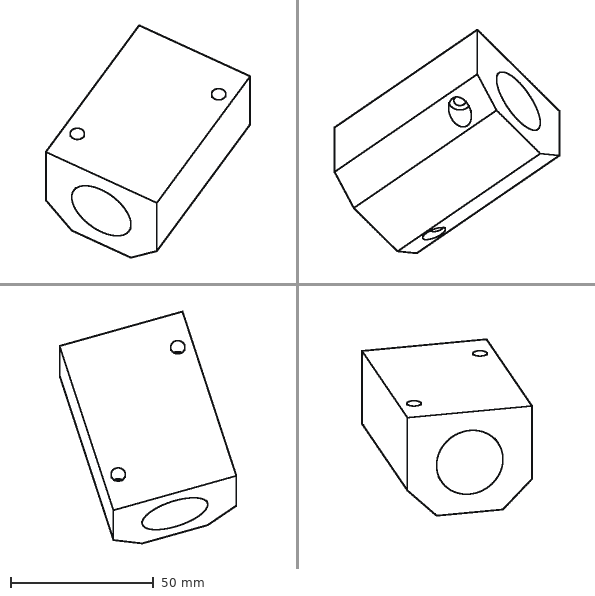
import cadquery as cq

width = 45.0
length = 65.0
height = 38.0
corner_cut = 10.5

bore_diameter = 24.0

hole_offset_x = 16.95
hole_offset_y = 20.0
core_diameter = 4.3
thread_diameter = 5.0
thread_depth = 10.0
head_diameter = 8.0
head_seat_height = 12.0

half_height = height / 2


def make_block():
    """Block with its lower long edges cut at 45 degrees."""
    block = cq.Workplane("XY").box(width, length, height)
    return block.faces("<Z").edges("|Y").chamfer(corner_cut)


def make_bore():
    """Cylinder that runs through the block along Y."""
    bore = cq.Workplane("XZ").circle(bore_diameter / 2)
    return bore.extrude(length / 2, both=True)


def vertical_cylinder(x, y, diameter, bottom, depth):
    """Cylinder parallel to Z that starts at the given level."""
    base = cq.Workplane("XY", origin=(x, y, bottom))
    return base.circle(diameter / 2).extrude(depth)


def make_screw_hole(x, y):
    """Through hole, widened at the top for a thread and below for a screw head."""
    core = vertical_cylinder(x, y, core_diameter, -half_height, height)
    thread = vertical_cylinder(x, y, thread_diameter, half_height - thread_depth, thread_depth)
    head = vertical_cylinder(x, y, head_diameter, -half_height, head_seat_height)
    return core.union(thread).union(head)


result = make_block().cut(make_bore())
for side in (-1, 1):
    result = result.cut(make_screw_hole(side * hole_offset_x, side * hole_offset_y))